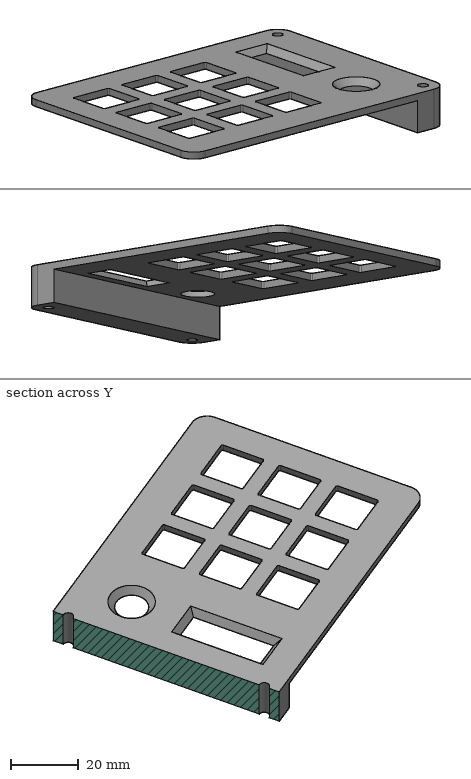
import cadquery as cq

plate_width = 75.0
plate_length = 100.0
plate_thickness = 2.2
corner_radius = 5.0

rail_depth = 11.5
rail_height = 10.0

screw_diameter = 3.2

key_size = 14.0
key_corner_radius = 0.5
key_pitch = 19.0
keys_per_side = 3
key_grid_x = -0.6
key_grid_y = -14.6

window_width = 30.3
window_height = 12.3
window_x = -12.8
window_y = 30.7
window_bevel = 1.9

knob_diameter = 14.0
knob_x = 18.7
knob_y = 30.9
knob_bevel = 2.0


def rounded_slab(bottom, top):
    """Full plate outline between two heights."""
    return (
        cq.Workplane("XY", origin=(0, 0, bottom))
        .rect(plate_width, plate_length)
        .extrude(top - bottom)
        .edges("|Z")
        .fillet(corner_radius)
    )


def rear_rail():
    """Rear strip of the plate outline, carried down below the plate."""
    rail_y = (plate_length - rail_depth) / 2
    strip = (
        cq.Workplane("XY", origin=(0, rail_y, -rail_height))
        .rect(plate_width, rail_depth)
        .extrude(rail_height)
    )
    return rounded_slab(-rail_height, 0).intersect(strip)


def screw_holes():
    """Cutters through the plate and the full height of the rail."""
    hole_x = plate_width / 2 - corner_radius
    hole_y = plate_length / 2 - corner_radius
    return (
        cq.Workplane("XY", origin=(0, 0, -rail_height))
        .pushPoints([(-hole_x, hole_y), (hole_x, hole_y)])
        .circle(screw_diameter / 2)
        .extrude(rail_height + plate_thickness)
    )


def key_openings():
    """Square cutters with softened corners on an even grid."""
    return (
        cq.Workplane("XY", origin=(key_grid_x, key_grid_y, 0))
        .rarray(key_pitch, key_pitch, keys_per_side, keys_per_side)
        .rect(key_size, key_size)
        .extrude(plate_thickness)
        .edges("|Z")
        .fillet(key_corner_radius)
    )


def window_opening():
    """Rectangular cutter widening from the underside to the top face."""
    return (
        cq.Workplane("XY", origin=(window_x, window_y, 0))
        .rect(window_width - 2 * window_bevel, window_height - 2 * window_bevel)
        .workplane(offset=plate_thickness)
        .rect(window_width, window_height)
        .loft(ruled=True)
    )


def knob_opening():
    """Conical cutter widening from the underside to the top face."""
    top_radius = knob_diameter / 2
    return (
        cq.Workplane("XY", origin=(knob_x, knob_y, 0))
        .circle(top_radius - knob_bevel)
        .workplane(offset=plate_thickness)
        .circle(top_radius)
        .loft(ruled=True)
    )


result = (
    rounded_slab(0, plate_thickness)
    .union(rear_rail())
    .cut(screw_holes())
    .cut(key_openings())
    .cut(window_opening())
    .cut(knob_opening())
)